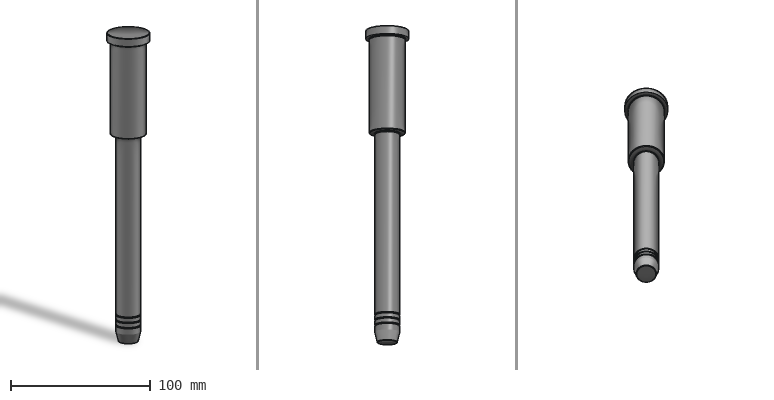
import cadquery as cq
import math

total_length = 231.0

head_diameter = 31.0
head_height = 6.0
head_chamfer = 0.5

shoulder_diameter = 26.0
shoulder_length = 70.0
shoulder_chamfer = 0.58

rod_diameter = 18.0

relief_width = 1.2
relief_depth = 0.5

groove_count = 3
groove_width = 1.2
groove_depth = 0.5
groove_land = 2.8
lowest_groove_height = 12.5

lead_in_length = 7.5
lead_in_angle = 14.0
tip_chamfer = 0.5

head_radius = head_diameter / 2
shoulder_radius = shoulder_diameter / 2
rod_radius = rod_diameter / 2
head_bottom = total_length - head_height
shoulder_bottom = head_bottom - shoulder_length
groove_pitch = groove_width + groove_land
lead_in_inset = (lead_in_length - tip_chamfer) * math.tan(math.radians(lead_in_angle))
lead_in_end_radius = rod_radius - lead_in_inset


def add_v_groove(profile, radius, bottom, width, depth):
    """Extend an upward profile with a V notch in a cylinder of the given radius."""
    return (
        profile.lineTo(radius, bottom)
        .lineTo(radius - depth, bottom + width / 2)
        .lineTo(radius, bottom + width)
    )


profile = (
    cq.Workplane("XZ")
    .lineTo(lead_in_end_radius - tip_chamfer, 0)
    .lineTo(lead_in_end_radius, tip_chamfer)
    .lineTo(rod_radius, lead_in_length)
)

for index in range(groove_count):
    groove_center = lowest_groove_height + index * groove_pitch
    groove_bottom = groove_center - groove_width / 2
    profile = add_v_groove(profile, rod_radius, groove_bottom, groove_width, groove_depth)
rod_relief_bottom = shoulder_bottom - relief_width
profile = add_v_groove(profile, rod_radius, rod_relief_bottom, relief_width, relief_depth)

profile = (
    profile.lineTo(shoulder_radius - shoulder_chamfer, shoulder_bottom)
    .lineTo(shoulder_radius, shoulder_bottom + shoulder_chamfer)
)
head_relief_bottom = head_bottom - relief_width
profile = add_v_groove(profile, shoulder_radius, head_relief_bottom, relief_width, relief_depth)

profile = (
    profile.lineTo(head_radius, head_bottom)
    .lineTo(head_radius, total_length - head_chamfer)
    .lineTo(head_radius - head_chamfer, total_length)
    .lineTo(0, total_length)
    .close()
)

result = profile.revolve(360, (0, 0, 0), (0, 1, 0))